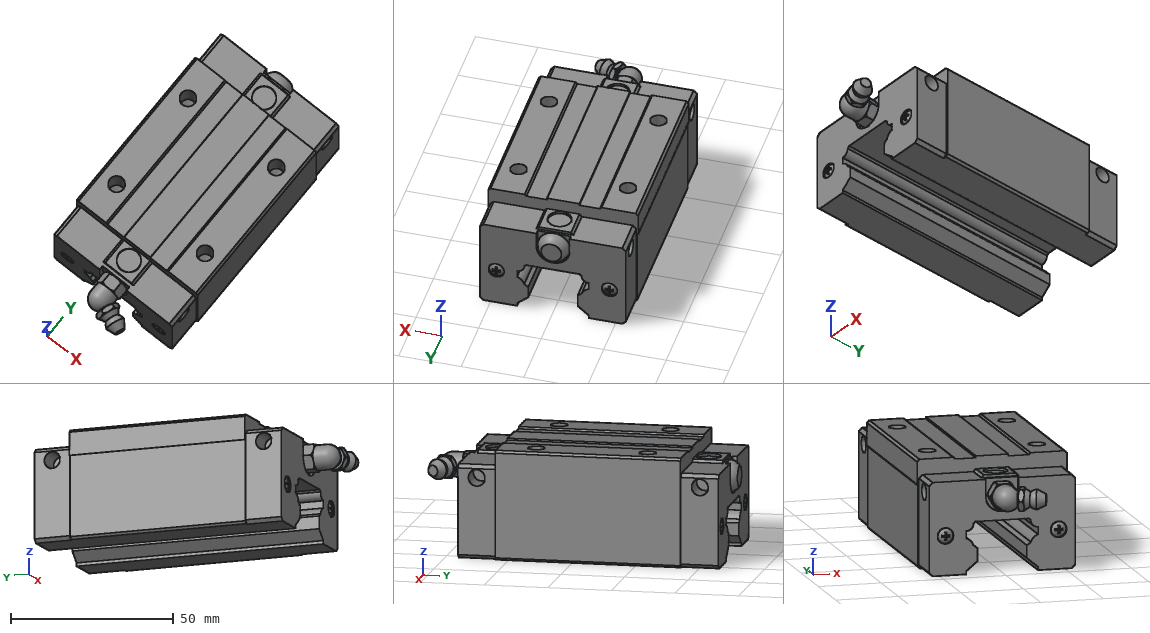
import cadquery as cq
import math


block_width = 48.0
block_height = 34.5
block_length = 58.2
block_chamfer = 0.8
side_step = 0.3
side_step_height = 26.4
groove_depth = 0.6
groove_inner_x = 5.2
groove_outer_x = 11.7
groove_slope = 0.6

rail_half_width = 11.4
throat_half_width = 7.9
throat_bottom = 4.0
throat_top = 8.1
lip_height = 1.1
race_z = 12.5
race_offset = 3.5
race_bulge = 2.3
lower_bulge_rise = 0.4
channel_top = 16.5
channel_corner = 0.7

cap_half_width = 23.4
cap_top = 29.6
cap_chamfer = 1.2
cap_end = 40.9
front_plate = 2.6
rear_plate = 2.3
ridge_top = 30.5
ridge_half_width = 5.2
ridge_slope = 0.8
port_z = 24.5
port_notch_radius = 5.3
port_notch_depth = 1.4

mount_radius = 2.6
mount_depth = 11.5
mount_pitch = 35.0
drill_tip_angle = 118.0
dimple_y = 33.2
dimple_radius = 3.75
dimple_depth = 0.8
side_hole_y = 35.1
side_hole_z = 25.6
side_hole_radius = 2.6
side_hole_depth = 7.7

screw_x = 18.1
screw_head_radius = 2.5
screw_head_height = 1.2
screw_tip = 41.4
cross_length = 2.5
cross_width = 0.6
cross_depth = 1.2

plug_radius = 5.2
plug_flat_radius = 3.3
plug_flank_inset = 0.6
plug_flank_height = 1.8
plug_end = 42.8

hex_across_corners = 9.1
hex_end = 43.6
hex_chamfer = 0.5
elbow_radius = 3.9
elbow_y = 47.1
arm_tilt = 21.0
flange_across_corners = 7.9
flange_start = 3.6
flange_end = 5.4
flange_cone_radius = 3.4
neck_radius = 2.3
neck_at = 7.1
head_radius = 3.2
head_at = 9.1
tip_radius = 1.7
tip_at = 11.9


def extrude_along_y(sketch, y_start, y_end):
    """Extrude an XZ outline between two Y positions."""
    return sketch.extrude(y_start - y_end).translate((0, y_start, 0))


def block():
    half = block_width / 2
    floor = block_height - groove_depth
    groove_foot = groove_outer_x + groove_slope
    groove_points = [
        (groove_foot, block_height),
        (groove_outer_x, floor),
        (groove_inner_x, floor),
        (groove_inner_x, block_height),
    ]
    outline = (
        cq.Workplane("XZ")
        .moveTo(half - block_chamfer, 0)
        .lineTo(half, block_chamfer)
        .lineTo(half, block_height - block_chamfer)
        .lineTo(half - block_chamfer, block_height)
    )
    for x, z in groove_points:
        outline = outline.lineTo(x, z)
    for x, z in reversed(groove_points):
        outline = outline.lineTo(-x, z)
    outline = (
        outline.lineTo(block_chamfer - half, block_height)
        .lineTo(-half, block_height - block_chamfer)
        .lineTo(-half, side_step_height)
        .lineTo(side_step - half, side_step_height)
        .lineTo(side_step - half, block_chamfer)
        .lineTo(side_step + block_chamfer - half, 0)
        .close()
    )
    return extrude_along_y(outline, -block_length / 2, block_length / 2)


def end_cap(side):
    """Cap with its seal plate; side is -1 for the front end and +1 for the rear."""
    inner = block_length / 2
    plate = front_plate if side < 0 else rear_plate
    y_min, y_max = sorted((side * inner, side * cap_end))
    body = (
        cq.Workplane("XY")
        .box(2 * cap_half_width, y_max - y_min, cap_top, centered=(True, False, False))
        .translate((0, y_min, 0))
        .edges("|Y")
        .chamfer(cap_chamfer)
    )
    foot = ridge_half_width + ridge_slope
    ridge = cq.Workplane("XZ").polyline([
        (-foot, cap_top),
        (foot, cap_top),
        (ridge_half_width, ridge_top),
        (-ridge_half_width, ridge_top),
    ]).close()
    ridge_min, ridge_max = sorted((side * inner, side * (cap_end - plate)))
    body = body.union(extrude_along_y(ridge, ridge_min, ridge_max))

    notch = (
        cq.Workplane("XZ")
        .moveTo(-port_notch_radius, ridge_top)
        .lineTo(-port_notch_radius, port_z)
        .threePointArc((0, port_z - port_notch_radius), (port_notch_radius, port_z))
        .lineTo(port_notch_radius, ridge_top)
        .close()
    )
    notch_min, notch_max = sorted((side * cap_end, side * (cap_end - port_notch_depth)))
    return body.cut(extrude_along_y(notch, notch_min, notch_max))


def rail_channel():
    """Slot for the rail, with a rounded bulge above and below each ball race."""
    low = race_z - race_offset
    high = race_z + race_offset
    bulge_x = rail_half_width - race_bulge
    mid = race_bulge * math.sqrt(0.5)
    lower_mid = race_bulge / 2 + lower_bulge_rise * math.sqrt(0.5)
    lower_mid_point = (rail_half_width - lower_mid, low + lower_mid)
    right_half = (
        cq.Workplane("XZ")
        .moveTo(0, 0)
        .lineTo(rail_half_width, 0)
        .lineTo(rail_half_width, lip_height)
        .lineTo(throat_half_width, throat_bottom)
        .lineTo(throat_half_width, throat_top)
        .lineTo(bulge_x, low)
        .threePointArc(lower_mid_point, (rail_half_width, low + race_bulge))
        .lineTo(rail_half_width, high - race_bulge)
        .threePointArc((rail_half_width - mid, high - mid), (bulge_x, high))
        .lineTo(bulge_x - channel_corner, channel_top)
        .lineTo(0, channel_top)
        .close()
    )
    half = extrude_along_y(right_half, -cap_end, cap_end)
    return half.union(half.mirror("YZ"))


def mounting_holes():
    tip = mount_radius / math.tan(math.radians(drill_tip_angle / 2))
    drill = (
        cq.Workplane("XZ")
        .polyline([
            (0, block_height),
            (mount_radius, block_height),
            (mount_radius, block_height - mount_depth),
            (0, block_height - mount_depth - tip),
        ])
        .close()
        .revolve(360, (0, 0), (0, 1))
    )
    half = mount_pitch / 2
    holes = cq.Workplane("XY")
    for x in (-half, half):
        for y in (-half, half):
            holes = holes.union(drill.translate((x, y, 0)))
    return holes


def cap_holes(side):
    """Shallow round recess in the ridge and one round hole in each cap side."""
    holes = (
        cq.Workplane("XY", origin=(0, side * dimple_y, ridge_top))
        .circle(dimple_radius)
        .extrude(-dimple_depth)
    )
    for x_side in (-1, 1):
        bore = (
            cq.Workplane("YZ", origin=(x_side * cap_half_width, side * side_hole_y, side_hole_z))
            .circle(side_hole_radius)
            .extrude(-x_side * side_hole_depth)
        )
        holes = holes.union(bore)
    return holes


def turned_part(half_profile, side):
    """Revolve a (radius, y) outline about Y; side +1 keeps it, -1 mirrors it to the front."""
    solid = half_profile.close().revolve(360, (0, 0), (0, 1))
    return solid if side > 0 else solid.mirror("XZ")


def dome_outline(radius, rim_y, tip_y):
    """Outline of a spherical cap with its rim and its tip at the given Y positions."""
    height = tip_y - rim_y
    sphere = (radius**2 + height**2) / (2 * height)
    mid = radius / 2
    mid_y = tip_y - sphere + math.sqrt(sphere**2 - mid**2)
    return (
        cq.Workplane("XY")
        .moveTo(0, rim_y)
        .lineTo(radius, rim_y)
        .threePointArc((mid, mid_y), (0, tip_y))
    )


def screw_recess(side):
    rim = screw_tip - screw_head_height
    recess = cq.Workplane("XZ", origin=(0, side * rim, race_z))
    recess = recess.pushPoints([(-screw_x, 0), (screw_x, 0)]).circle(screw_head_radius)
    return recess.extrude(-side * (cap_end - rim))


def screw_heads(side):
    rim = screw_tip - screw_head_height
    head = turned_part(dome_outline(screw_head_radius, rim, screw_tip), side)
    cross = cq.Workplane("XY").box(cross_length, 2 * cross_depth, cross_width)
    cross = cross.union(cq.Workplane("XY").box(cross_width, 2 * cross_depth, cross_length))
    head = head.cut(cross.translate((0, side * screw_tip, 0)))
    return head.translate((-screw_x, 0, race_z)).union(head.translate((screw_x, 0, race_z)))


def rear_plug():
    seat = cap_end - port_notch_depth
    flank_mid = (plug_radius - plug_flank_inset, seat + plug_flank_height)
    outline = (
        cq.Workplane("XY")
        .moveTo(0, seat)
        .lineTo(plug_radius, seat)
        .threePointArc(flank_mid, (plug_flat_radius, plug_end))
        .lineTo(0, plug_end)
    )
    return turned_part(outline, 1).translate((0, 0, port_z))


def chamfered_hexagon(across_corners, length):
    """Hexagonal prism along +X, corners toward Y, with its corners coned off at both ends."""
    trim = cq.Workplane("YZ").circle(across_corners / 2).extrude(length).edges().chamfer(hex_chamfer)
    return cq.Workplane("YZ").polygon(6, across_corners).extrude(length).intersect(trim)


def grease_nipple():
    seat = cap_end - port_notch_depth
    hexagon = chamfered_hexagon(hex_across_corners, hex_end - seat)
    hexagon = hexagon.rotate((0, 0, 0), (0, 0, 1), -90).translate((0, -seat, 0))
    elbow = cq.Workplane("XZ", origin=(0, -seat, 0)).circle(elbow_radius).extrude(elbow_y - seat)
    ball = cq.Workplane("XY").sphere(elbow_radius).translate((0, -elbow_y, 0))
    fitting = hexagon.union(elbow).union(ball)

    flange = chamfered_hexagon(flange_across_corners, flange_end - flange_start)
    flange = flange.translate((flange_start, 0, 0))
    shoulder_x = (neck_at + head_at) / 2
    shoulder_radius = neck_radius + (head_radius - neck_radius) * math.sqrt(0.5)
    arm = (
        cq.Workplane("XY")
        .moveTo(0, 0)
        .lineTo(0, neck_radius)
        .lineTo(flange_end, neck_radius)
        .lineTo(flange_end, flange_cone_radius)
        .lineTo(neck_at, neck_radius)
        .threePointArc((shoulder_x, shoulder_radius), (head_at, head_radius))
        .lineTo(tip_at, tip_radius)
        .lineTo(tip_at, 0)
        .close()
        .revolve(360, (0, 0), (1, 0))
    )
    arm = arm.union(flange)
    arm = arm.rotate((0, 0, 0), (0, 0, 1), -arm_tilt).translate((0, -elbow_y, 0))
    return fitting.union(arm).translate((0, 0, port_z))


result = block()
for end in (-1, 1):
    result = result.union(end_cap(end))
result = result.cut(rail_channel()).cut(mounting_holes())
for end in (-1, 1):
    result = result.cut(cap_holes(end)).cut(screw_recess(end)).union(screw_heads(end))
result = result.union(rear_plug()).union(grease_nipple())